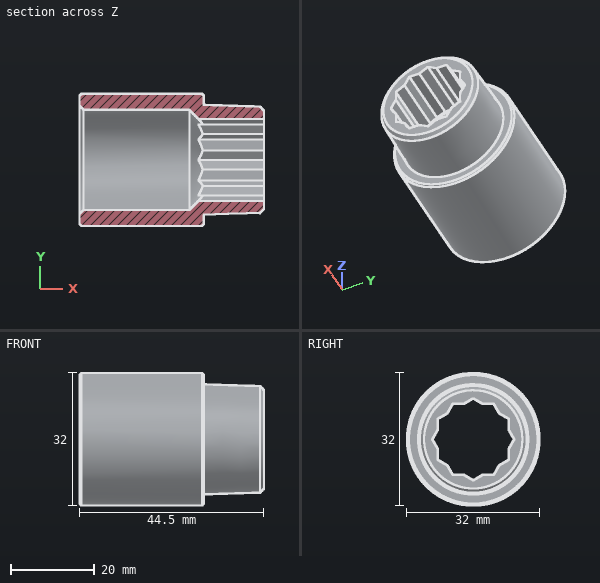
import cadquery as cq
import math

body_length = 30.0
body_diameter = 32.0
body_chamfer = 0.5

overall_length = 44.5
neck_root_diameter = 26.6
neck_end_diameter = 25.7
neck_chamfer = 1.0

socket_across_flats = 17.05
hexagon_sides = 6
half_side_angle = 180 / hexagon_sides

bore_diameter = 24.12
bore_chamfer = 1.0
cone_half_angle = 45.0
cone_slope = math.tan(math.radians(cone_half_angle))
bore_depth = body_length - (bore_diameter - socket_across_flats) / 2 / cone_slope


def make_outside():
    """Chamfered body with a slightly tapered, chamfered neck."""
    body_radius = body_diameter / 2
    neck_root_radius = neck_root_diameter / 2
    neck_end_radius = neck_end_diameter / 2
    neck_taper = (neck_root_radius - neck_end_radius) / (overall_length - body_length)
    chamfer_start_radius = neck_end_radius + neck_chamfer * neck_taper
    return (
        cq.Workplane("XY")
        .moveTo(0, 0)
        .lineTo(0, body_radius - body_chamfer)
        .lineTo(body_chamfer, body_radius)
        .lineTo(body_length - body_chamfer, body_radius)
        .lineTo(body_length, body_radius - body_chamfer)
        .lineTo(body_length, neck_root_radius)
        .lineTo(overall_length - neck_chamfer, chamfer_start_radius)
        .lineTo(overall_length, neck_end_radius - neck_chamfer)
        .lineTo(overall_length, 0)
        .close()
        .revolve(360, (0, 0, 0), (1, 0, 0))
    )


def make_bore():
    """Bore with a chamfered mouth and a conical bottom."""
    bore_radius = bore_diameter / 2
    cone_length = bore_radius / cone_slope
    return (
        cq.Workplane("XY")
        .moveTo(0, 0)
        .lineTo(0, bore_radius + bore_chamfer)
        .lineTo(bore_chamfer, bore_radius)
        .lineTo(bore_depth, bore_radius)
        .lineTo(bore_depth + cone_length, 0)
        .close()
        .revolve(360, (0, 0, 0), (1, 0, 0))
    )


def make_socket():
    """Two through hexagons, turned half a side apart, forming twelve points."""
    across_corners = socket_across_flats / math.cos(math.radians(half_side_angle))
    hexagon = cq.Workplane("YZ").polygon(hexagon_sides, across_corners).extrude(overall_length)
    return hexagon.union(hexagon.rotate((0, 0, 0), (1, 0, 0), half_side_angle))


result = make_outside().cut(make_bore()).cut(make_socket())